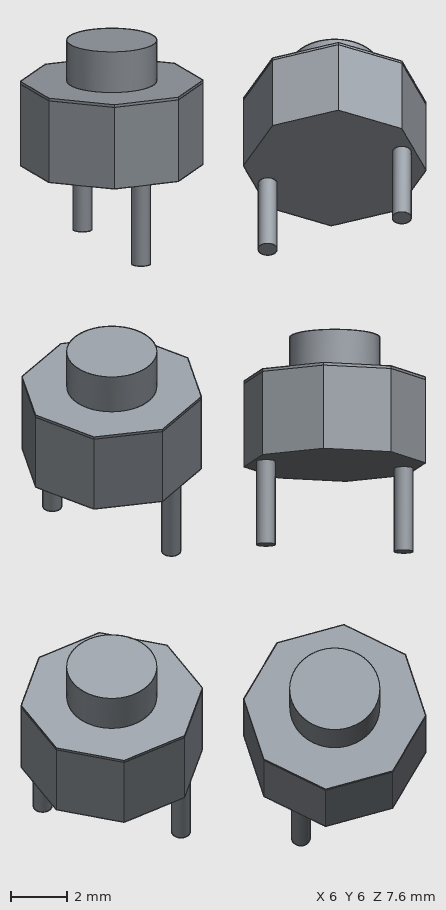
import cadquery as cq

body_width = 6.0
corner_cut = 1.755
pin_length = 3.0
pin_diameter = 0.68
pin_spacing = 5.08
cover_thickness = 0.1
button_diameter = 3.2
button_height = 1.5
total_height = 7.6

housing_bottom = pin_length
button_bottom = total_height - button_height
cover_bottom = button_bottom - cover_thickness
housing_height = cover_bottom - housing_bottom


def octagon_block(bottom, height):
    """Square block with its four vertical corners cut to an octagon."""
    return (
        cq.Workplane("XY", origin=(0, 0, bottom))
        .rect(body_width, body_width)
        .extrude(height)
        .edges("|Z")
        .chamfer(corner_cut)
    )


def make_housing():
    """Plain octagonal housing."""
    return octagon_block(housing_bottom, housing_height)


def make_button_cover():
    """Thin octagonal cover with the round button standing on it."""
    button = (
        cq.Workplane("XY", origin=(0, 0, button_bottom))
        .circle(button_diameter / 2)
        .extrude(button_height)
    )
    return octagon_block(cover_bottom, cover_thickness).union(button)


def make_pin(x):
    """Round pin that meets the underside of the housing."""
    return cq.Workplane("XY").center(x, 0).circle(pin_diameter / 2).extrude(pin_length)


housing = make_housing()
button_cover = make_button_cover()
pins = [make_pin(side * pin_spacing / 2) for side in (-1, 1)]

result = cq.Compound.makeCompound([housing.val(), button_cover.val(), *[pin.val() for pin in pins]])